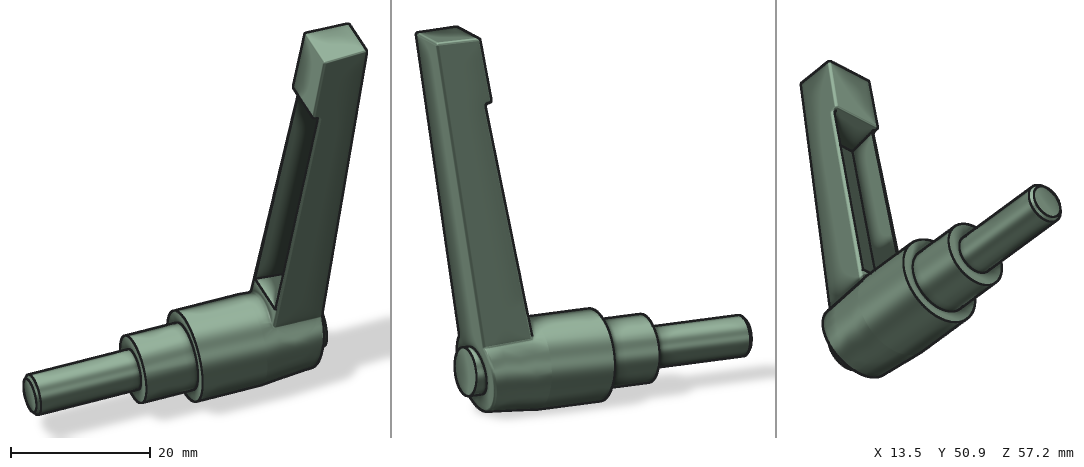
import cadquery as cq

STUD_DIAMETER = 6.0
STUD_LENGTH = 16
STUD_CHAMFER = 0.5
COLLAR_DIAMETER = 10.0
COLLAR_LENGTH = 8
HUB_RADIUS = 6.75
HUB_STRAIGHT_LENGTH = 10.05
HUB_CONE_LENGTH = 12.55
HUB_CONE_END_RADIUS = 5.75
PIN_RADIUS = 3.55
PIN_END_Y = 20.55

TOP_Z = 50.4
BACK_TOP_Y = 26.95
BACK_SLOPE = 0.158
GRIP_TOP_Y = 20
GRIP_SLOPE = 0.19
STEP_Z = 40.7
RIM_STEP_Y = 19.2
RIM_SLOPE = 0.205
STEP_TILT = 0.22
FRONT_WIDTH_TOP = 7.75
FRONT_WIDTH_AXIS = 9.2
SIDE_DRAFT = 0.047

POCKET_FLOOR_Z = 7.6
POCKET_FLOOR_TILT = 0.1
POCKET_WIDTH_TOP = 6.85
POCKET_WIDTH_AXIS = 7.8
WEB_THICKNESS_AXIS = 3.1
WEB_THICKNESS_TOP = 1.25

EDGE_RADIUS = 0.4

SEAM_CLEAR_X = 5.7
SELECT_MARGIN = 0.55
CUT_MARGIN = 17.15


def back_y(z):
    return BACK_TOP_Y - BACK_SLOPE * (TOP_Z - z)


def grip_y(z):
    return GRIP_TOP_Y - GRIP_SLOPE * (TOP_Z - z)


def rim_y(z):
    return RIM_STEP_Y - RIM_SLOPE * (STEP_Z - z)


def ceiling_z(y):
    """Height of the tilted underside of the grip."""
    return STEP_Z - STEP_TILT * (y - grip_y(STEP_Z))


def floor_z(y):
    """Height of the pocket floor, which falls towards the back."""
    return POCKET_FLOOR_Z - POCKET_FLOOR_TILT * (y - rim_y(POCKET_FLOOR_Z))


def side_profile(points):
    """Extrude a YZ outline symmetrically about the plane X = 0."""
    return cq.Workplane("YZ").polyline(points).close().extrude(2 * HUB_RADIUS, both=True)


def trapezoid(front_y, front_width, rear_y, rear_width):
    return [
        (-front_width / 2, front_y),
        (front_width / 2, front_y),
        (rear_width / 2, rear_y),
        (-rear_width / 2, rear_y),
    ]


def loft_up(lower, upper):
    """Ruled solid between outlines on the hub axis and at the handle top."""
    return (
        cq.Workplane("XY").polyline(lower).close()
        .workplane(offset=TOP_Z).polyline(upper).close()
        .loft(ruled=True)
    )


def make_handle():
    def section(z, width):
        rear_width = width - 2 * SIDE_DRAFT * (back_y(z) - grip_y(z))
        return trapezoid(grip_y(z), width, back_y(z), rear_width)

    handle = loft_up(section(0, FRONT_WIDTH_AXIS), section(TOP_Z, FRONT_WIDTH_TOP))
    rim_relief = side_profile([
        (rim_y(0), 0),
        (RIM_STEP_Y, ceiling_z(RIM_STEP_Y)),
        (grip_y(STEP_Z), STEP_Z),
        (grip_y(STEP_Z) - CUT_MARGIN, STEP_Z),
        (grip_y(STEP_Z) - CUT_MARGIN, 0),
    ])
    return handle.cut(rim_relief)


def make_hub():
    cone_end = HUB_STRAIGHT_LENGTH + HUB_CONE_LENGTH
    hub = (
        cq.Workplane("XY")
        .polyline([
            (0, 0),
            (HUB_RADIUS, 0),
            (HUB_RADIUS, HUB_STRAIGHT_LENGTH),
            (HUB_CONE_END_RADIUS, cone_end),
            (0, cone_end),
        ])
        .close()
        .revolve(360, (0, 0), (0, 1))
    )
    low, high = -CUT_MARGIN, CUT_MARGIN
    rear_trim = side_profile([
        (back_y(low), low),
        (back_y(high), high),
        (cone_end + CUT_MARGIN, high),
        (cone_end + CUT_MARGIN, low),
    ])
    return hub.cut(rear_trim)


def make_pocket():
    def section(z, width, web_thickness):
        return trapezoid(rim_y(z) - CUT_MARGIN, width, back_y(z) - web_thickness, width)

    pocket = loft_up(
        section(0, POCKET_WIDTH_AXIS, WEB_THICKNESS_AXIS),
        section(TOP_Z, POCKET_WIDTH_TOP, WEB_THICKNESS_TOP),
    )
    front, rear = grip_y(STEP_Z) - CUT_MARGIN, BACK_TOP_Y
    limits = side_profile([
        (front, floor_z(front)),
        (rear, floor_z(rear)),
        (rear, ceiling_z(rear)),
        (grip_y(STEP_Z), STEP_Z),
        (front, STEP_Z),
    ])
    return pocket.intersect(limits)


def cylinder(radius, start_y, end_y):
    plane = cq.Workplane("XZ", origin=(0, end_y, 0))
    return plane.circle(radius).extrude(end_y - start_y)


def make_lever():
    """Hub and handle in one piece, rounded along every edge behind the cone's start."""
    lever = make_hub().union(make_handle())
    rounded_edges = cq.selectors.BoxSelector(
        (-SEAM_CLEAR_X, HUB_STRAIGHT_LENGTH + SELECT_MARGIN, -HUB_RADIUS),
        (SEAM_CLEAR_X, BACK_TOP_Y + SELECT_MARGIN, TOP_Z + SELECT_MARGIN),
    )
    return lever.edges(rounded_edges).fillet(EDGE_RADIUS)


def make_stud():
    stud = cylinder(STUD_DIAMETER / 2, -COLLAR_LENGTH - STUD_LENGTH, 0)
    stud = stud.faces("<Y").chamfer(STUD_CHAMFER)
    collar = cylinder(COLLAR_DIAMETER / 2, -COLLAR_LENGTH, 0)
    return stud.union(collar)


pin = cylinder(PIN_RADIUS, HUB_STRAIGHT_LENGTH, PIN_END_Y)
result = make_lever().cut(make_pocket()).union(make_stud()).union(pin)